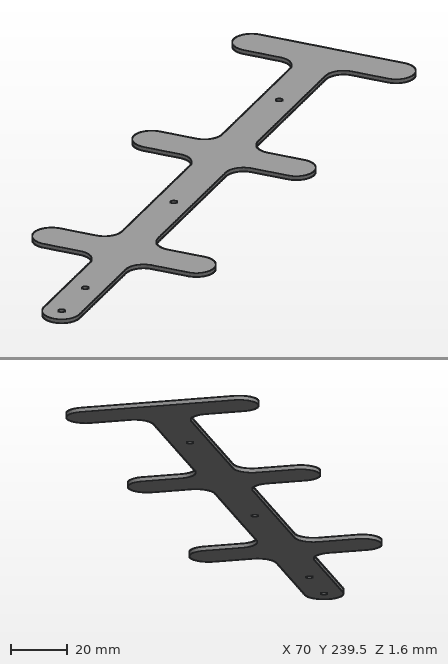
import cadquery as cq

length = 239.5
arm_span = 70.0
thickness = 1.6
strip_width = 14.0

arm_count = 3
arm_pitch = 86.0
inner_fillet = 7.0

hole_diameter = 2.5
hole_distances = [7.0, 27.3, 103.5, 194.0]

tip_y = -length / 2
end_radius = strip_width / 2
first_arm_y = length / 2 - end_radius
arm_centres = [first_arm_y - i * arm_pitch for i in range(arm_count)]


def make_arm(y):
    """Round-ended bar across the spine, centred at the given y."""
    return (
        cq.Workplane("XY")
        .center(0, y)
        .slot2D(arm_span, strip_width)
        .extrude(thickness)
    )


def make_spine():
    """Bar from the first arm's centre line to the rounded -Y tip."""
    tip_centre_y = tip_y + end_radius
    return (
        cq.Workplane("XY")
        .moveTo(-end_radius, first_arm_y)
        .lineTo(-end_radius, tip_centre_y)
        .threePointArc((0, tip_y), (end_radius, tip_centre_y))
        .lineTo(end_radius, first_arm_y)
        .close()
        .extrude(thickness)
    )


plate = make_spine()
for arm_y in arm_centres:
    plate = plate.union(make_arm(arm_y))

selection_margin = 0.2
corner_reach = end_radius + selection_margin
for arm_y in arm_centres:
    corners = cq.selectors.BoxSelector(
        (-corner_reach, arm_y - corner_reach, -thickness),
        (corner_reach, arm_y + corner_reach, 2 * thickness),
    )
    plate = plate.edges("|Z").edges(corners).fillet(inner_fillet)

hole_centres = [(0, tip_y + distance) for distance in hole_distances]
holes = (
    cq.Workplane("XY")
    .pushPoints(hole_centres)
    .circle(hole_diameter / 2)
    .extrude(thickness)
)

result = plate.cut(holes)